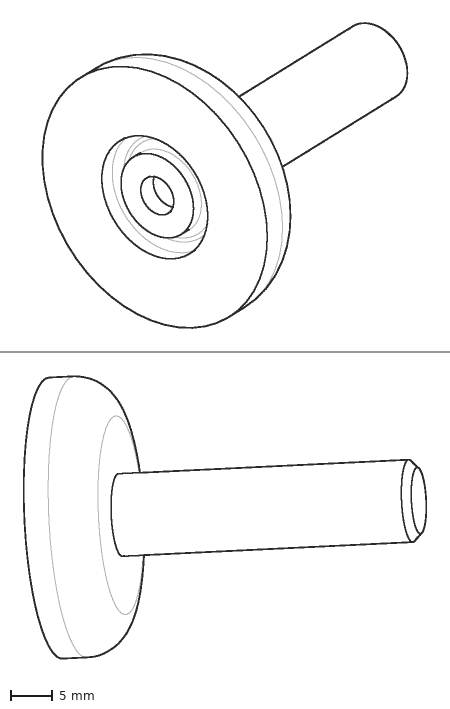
import cadquery as cq
import math

total_length = 45.0
plate_diameter = 34.0
plate_thickness = 8.0
plate_rounding = 5.0

stud_diameter = 10.0
stud_chamfer = 1.0

recess_diameter = 16.0
recess_depth = 3.0
recess_fillet = 1.0
boss_diameter = 11.0
boss_setback = 0.5
hole_diameter = 5.0

plate_bottom = -total_length / 2
plate_top = plate_bottom + plate_thickness
stud_end = total_length / 2
recess_floor = plate_bottom + recess_depth
boss_face = plate_bottom + boss_setback
stud_start = recess_floor


def cylinder(diameter, start, end):
    """Solid cylinder on the Y axis between two Y positions."""
    base = cq.Workplane("XZ", origin=(0, start, 0))
    return base.circle(diameter / 2).extrude(start - end)


def make_recess():
    """Cutter that leaves the set-back boss standing, with a filleted floor around it."""
    midpoint_offset = recess_fillet * (1 - math.sqrt(0.5))
    outer = recess_diameter / 2
    inner = boss_diameter / 2
    fillet_start = recess_floor - recess_fillet
    profile = (
        cq.Workplane("XY")
        .moveTo(0, plate_bottom)
        .lineTo(outer, plate_bottom)
        .lineTo(outer, fillet_start)
        .threePointArc(
            (outer - midpoint_offset, recess_floor - midpoint_offset),
            (outer - recess_fillet, recess_floor),
        )
        .lineTo(inner + recess_fillet, recess_floor)
        .threePointArc(
            (inner + midpoint_offset, recess_floor - midpoint_offset),
            (inner, fillet_start),
        )
        .lineTo(inner, boss_face)
        .lineTo(0, boss_face)
        .close()
    )
    return profile.revolve(360, (0, 0, 0), (0, 1, 0))


def make_plate():
    """Round foot plate with a rounded upper rim, a stud bore and a recessed underside."""
    plate = cylinder(plate_diameter, plate_bottom, plate_top).faces(">Y").edges().fillet(plate_rounding)
    stud_bore = cylinder(stud_diameter, stud_start, plate_top)
    bottom_hole = cylinder(hole_diameter, plate_bottom, stud_start)
    return plate.cut(stud_bore).cut(bottom_hole).cut(make_recess())


def make_stud():
    """Plain stud with a chamfered free end, seated in the plate bore and closing the bottom hole."""
    return cylinder(stud_diameter, stud_start, stud_end).faces(">Y").chamfer(stud_chamfer)


plate = make_plate()
stud = make_stud()

result = cq.Compound.makeCompound([plate.val(), stud.val()])